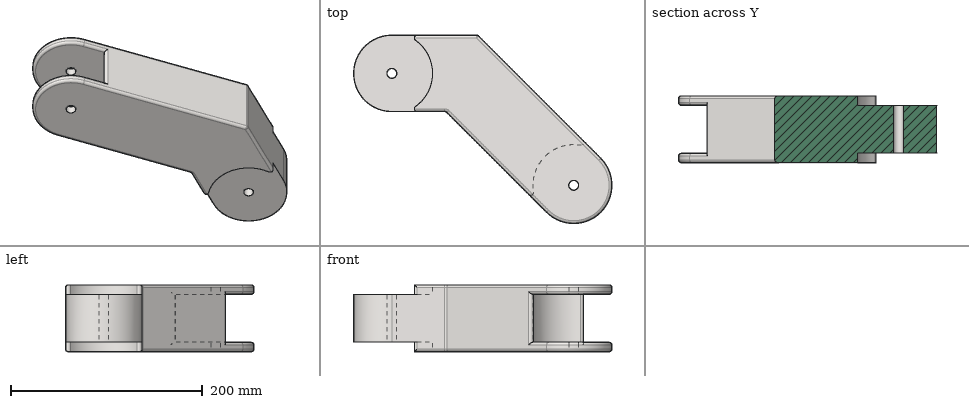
import cadquery as cq
import math

half_width = 40.0
height = 70.0
gap = 50.0
swing_radius = 42.5
edge_radius = 3.0
pin_diameter = 10.0
elbow_x = 73.0
forearm_reach = 116.85
bend_angle = 45.0

plate = (height - gap) / 2
elbow_shift = half_width * math.tan(math.radians(bend_angle / 2))
inner_elbow_x = elbow_x - elbow_shift
outer_elbow_x = elbow_x + elbow_shift
fork_x = elbow_x + forearm_reach
fork_y = -forearm_reach
side_x = half_width * math.sin(math.radians(bend_angle))
side_y = half_width * math.cos(math.radians(bend_angle))
nose_x = fork_x + half_width * math.cos(math.radians(bend_angle))
nose_y = fork_y - half_width * math.sin(math.radians(bend_angle))
cusp = math.sqrt(swing_radius**2 - half_width**2)
on_surface = 1e-3


def disc(radius, thickness):
    """Cylinder on the Z axis, centred on the mid-plane."""
    return cq.Workplane("XY").circle(radius).extrude(thickness / 2, both=True)


def bent_blank():
    """Full-height bent arm, from the ends of the swing circle to the round fork end."""
    outline = (
        cq.Workplane("XY")
        .moveTo(cusp, -half_width)
        .lineTo(inner_elbow_x, -half_width)
        .lineTo(fork_x - side_x, fork_y - side_y)
        .threePointArc((nose_x, nose_y), (fork_x + side_x, fork_y + side_y))
        .lineTo(outer_elbow_x, half_width)
        .lineTo(cusp, half_width)
        .close()
    )
    return outline.extrude(height / 2, both=True)


def clevis_slot():
    """Slot for a mating tongue: a swing disc at the fork pivot, opened out past the nose."""
    opening_length = 2 * half_width
    opening = cq.Workplane("XY").box(opening_length, 2 * half_width, gap, centered=(False, True, True))
    slot = disc(swing_radius, gap).union(opening.translate((-cusp, 0, 0)))
    return slot.rotate((0, 0, 0), (0, 0, 1), -bend_angle).translate((fork_x, fork_y, 0))


def outer_edges(blank, arm):
    """Edges bordering the outer side walls, without the short seams where the nose meets the flats."""
    walls = blank.faces("#Z").faces("not <X").vals()
    skin = cq.Compound.makeCompound(walls)

    def borders_a_wall(edge):
        middle = cq.Vertex.makeVertex(*edge.positionAt(0.5).toTuple())
        return skin.distance(middle) < on_surface and edge.Length() > plate + on_surface

    return [edge for edge in arm.edges().vals() if borders_a_wall(edge)]


def rounded_arm():
    """Bent arm with both swing clearances cut and its outer edges rounded."""
    blank = bent_blank()
    arm = blank.cut(disc(swing_radius, height)).cut(clevis_slot())
    return arm.newObject(outer_edges(blank, arm)).fillet(edge_radius)


def tongue():
    """Round-ended lug around the first pivot, reaching into the arm."""
    neck_length = swing_radius + edge_radius
    neck = cq.Workplane("XY").box(neck_length, 2 * half_width, gap, centered=(False, True, True))
    return disc(half_width, gap).union(neck)


def pin_holes():
    pin = disc(pin_diameter / 2, height)
    return pin.union(pin.translate((fork_x, fork_y, 0)))


result = rounded_arm().union(tongue()).cut(pin_holes())